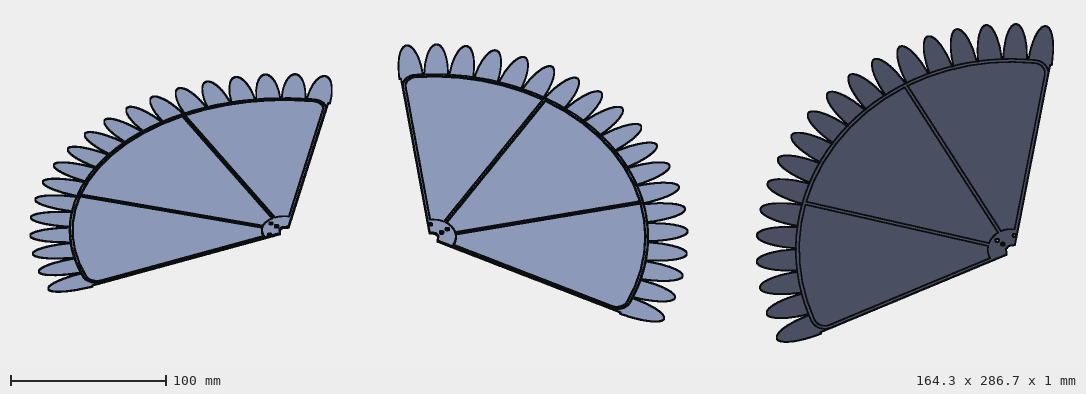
import cadquery as cq
import math

sheet_thickness = 0.5
total_height = 1.0

tip_radius = 164.3
rim_radius = 138.8
petal_count = 19
petal_sweep = 121.06
petal_pitch = petal_sweep / (petal_count - 1)
petal_half_width = 7.7
petal_length = tip_radius - rim_radius

side_angle = 62.5
side_offset = 4.3

rib_width = 2.18
corner_radius = 9.5
bevel = 0.4
spoke_angle = 23.0

hub_radius = 15.0
notch_depth = 3.0
notch_floor_half = 1.5
pivot_hole_x = -11.2
stepped_hole_x = -6.5
side_hole_x = -4.5
side_hole_y = -9.7
plain_hole_diameter = 2.45
stepped_hole_diameter = 1.1
counterbore_diameter = 2.5


def sector(radius):
    """Outline of the fan out to a radius, with its two straight sides."""
    slope_x = math.cos(math.radians(side_angle))
    slope_y = math.sin(math.radians(side_angle))
    run = math.sqrt(radius**2 - (side_offset * slope_x) ** 2) - side_offset * slope_y
    end_x = -run * slope_x
    end_y = side_offset + run * slope_y
    return (
        cq.Workplane("XY")
        .moveTo(0, side_offset)
        .lineTo(end_x, end_y)
        .threePointArc((-radius, 0), (end_x, -end_y))
        .lineTo(0, -side_offset)
        .close()
    )


def petal(angle):
    """Half-elliptical petal rooted inside the rim, at an angle from -X."""
    root = rib_width
    shape = (
        cq.Workplane("XY")
        .moveTo(-rim_radius + root, -petal_half_width)
        .lineTo(-rim_radius, -petal_half_width)
        .ellipseArc(petal_length, petal_half_width, 90, 270, sense=-1)
        .lineTo(-rim_radius + root, petal_half_width)
        .close()
        .extrude(sheet_thickness)
    )
    return shape.rotate((0, 0, 0), (0, 0, 1), angle)


def spoke(angle):
    """Full-height rib from the hub to the rim, at an angle from -X."""
    start = hub_radius - rib_width / 2
    length = rim_radius - rib_width / 2 - start
    bar = cq.Workplane("XY").box(length, rib_width, total_height, centered=(False, True, False))
    return bar.translate((start, 0, 0)).rotate((0, 0, 0), (0, 0, 1), 180 + angle)


def frame():
    """Raised border along the rim and the two sides, rounded at the outer corners."""
    outer = sector(rim_radius).extrude(total_height).edges("|Z and (>Y or <Y)").fillet(corner_radius)
    inset = outer.faces("<Z").wires().toPending().offset2D(-rib_width)
    window = cq.Workplane("XY").add(inset.vals()).toPending().extrude(total_height)
    return outer.cut(window)


def hub():
    """Full-height disc around the fan centre, trimmed to the fan's sides."""
    disc = cq.Workplane("XY").circle(hub_radius).extrude(total_height)
    return disc.intersect(sector(rim_radius).extrude(total_height))


def notch():
    """Cutter for the flat-bottomed V in the hub's tip."""
    return (
        cq.Workplane("XY")
        .moveTo(0, side_offset)
        .lineTo(-notch_depth, notch_floor_half)
        .lineTo(-notch_depth, -notch_floor_half)
        .lineTo(0, -side_offset)
        .close()
        .extrude(total_height)
    )


def hub_holes():
    """Cutter for the two plain holes and the counterbored hole in the hub."""
    plain_centres = [(pivot_hole_x, 0), (side_hole_x, side_hole_y)]
    plain = (
        cq.Workplane("XY")
        .pushPoints(plain_centres)
        .circle(plain_hole_diameter / 2)
        .extrude(total_height)
    )
    bore = (
        cq.Workplane("XY", origin=(stepped_hole_x, 0, 0))
        .circle(stepped_hole_diameter / 2)
        .extrude(total_height)
    )
    counterbore = (
        cq.Workplane("XY", origin=(stepped_hole_x, 0, sheet_thickness))
        .circle(counterbore_diameter / 2)
        .extrude(total_height)
    )
    return plain.union(bore).union(counterbore)


raised = frame().union(hub())
for direction in (-spoke_angle, spoke_angle):
    raised = raised.union(spoke(direction))
raised = raised.cut(notch()).faces(">Z").chamfer(bevel)

sheet = sector(rim_radius).extrude(sheet_thickness).cut(notch())
for index in range(petal_count):
    sheet = sheet.union(petal(index * petal_pitch - petal_sweep / 2))

result = sheet.union(raised).cut(hub_holes())